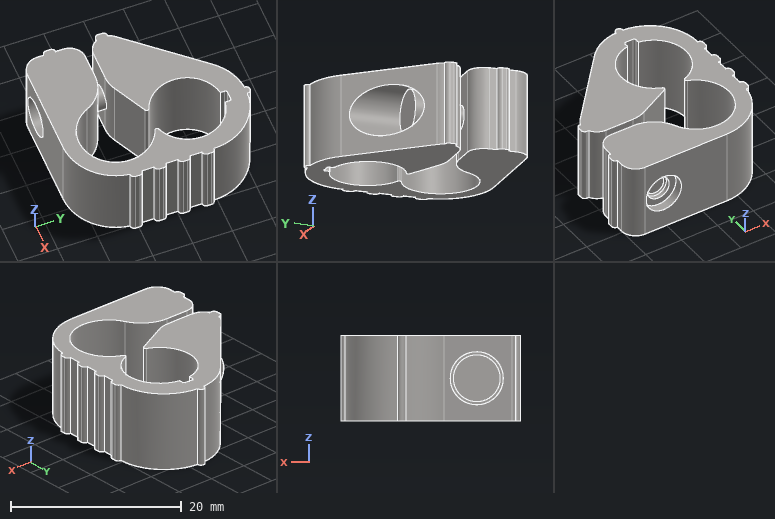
import cadquery as cq
import math

HEIGHT = 10.0

OUTER_R = 6.6
UPPER_OUTER_Y = 9.8
WALL_X = -13.4
CORNER_R = 2.0
GAP_BOTTOM = 0.7
GAP_TOP = 1.71

LOWER_BORE_R = 4.6
UPPER_BORE_R = 4.5
UPPER_BORE_Y = 9.02
TIP_R = 0.25
BEND_R = 4.0
BEND_X = -7.68

KEY_WIDTH = 1.5
KEY_TOP = UPPER_BORE_Y + 5.24
KEY_CORNER_R = 0.25

RIB_DEPTH = 0.5
RIB_WIDTH = 1.5
RIB_PITCH = 3.0
RIB_COUNT = 4
UPPER_JAW_RIB_Y = 3.5
LOWER_JAW_RIB_Y = -3.0
RIB_ROOT = 1.17

SCREW_X = -8.78
SCREW_D = 3.0
HEAD_D = 5.47
HEAD_HEIGHT = 3.0
HEAD_TOP = 7.18
HEAD_POCKET_D = 6.2
FRONT_POCKET_D = 4.9
FRONT_POCKET_DEPTH = 1.17
FRONT_HOLE_DEPTH = 0.59
FRONT_CONE_D = 2.47
FRONT_CONE_DEPTH = 0.16


def on_circle(center, radius, angle):
    """Point on a circle at an angle in radians."""
    return (center[0] + radius * math.cos(angle), center[1] + radius * math.sin(angle))


def tangent_angle(start, start_r, end, end_r):
    """Normal angle of the outer tangent lying on the right when going from start to end."""
    dx = end[0] - start[0]
    dy = end[1] - start[1]
    return math.atan2(dy, dx) - math.pi / 2 + math.asin((start_r - end_r) / math.hypot(dx, dy))


def arc(path, center, radius, start, end):
    """Extend a path, already at the start angle, along a circle to the end angle."""
    middle = on_circle(center, radius, (start + end) / 2)
    return path.threePointArc(middle, on_circle(center, radius, end))


def clamp_body():
    """Extrude the clamp outline, traced counterclockwise from its lower right arc."""
    right, up, left, down = 0, math.pi / 2, math.pi, 1.5 * math.pi
    turn = 2 * math.pi
    lower = (0, 0)
    upper = (0, UPPER_BORE_Y)
    outer_top = (0, UPPER_OUTER_Y)
    corner_x = WALL_X + CORNER_R
    upper_corner = (corner_x, GAP_TOP + CORNER_R)
    lower_jaw_corner = (corner_x, GAP_BOTTOM - CORNER_R)
    bottom_corner = (corner_x, CORNER_R - OUTER_R)
    bend = (BEND_X, GAP_TOP + BEND_R)

    upper_reach = UPPER_BORE_R + TIP_R
    lower_reach = LOWER_BORE_R + TIP_R
    tip_y = (UPPER_BORE_Y**2 + lower_reach**2 - upper_reach**2) / (2 * UPPER_BORE_Y)
    tip_x = math.sqrt(lower_reach**2 - tip_y**2)
    left_tip = (-tip_x, tip_y)
    right_tip = (tip_x, tip_y)
    to_upper = math.atan2(UPPER_BORE_Y - tip_y, tip_x)
    to_lower = math.atan2(tip_y, tip_x)

    hump_y = GAP_BOTTOM - LOWER_BORE_R
    hump = (-math.sqrt((2 * LOWER_BORE_R)**2 - hump_y**2), hump_y)
    hump_end = math.atan2(-hump[1], -hump[0])

    slope = tangent_angle(outer_top, OUTER_R, upper_corner, CORNER_R) % turn
    jaw_slope = tangent_angle(bend, BEND_R, left_tip, TIP_R)

    path = cq.Workplane("XY").moveTo(0, -OUTER_R)
    path = arc(path, lower, OUTER_R, -math.pi / 2, right)
    path = path.lineTo(OUTER_R, UPPER_OUTER_Y)
    path = arc(path, outer_top, OUTER_R, right, slope)
    path = path.lineTo(*on_circle(upper_corner, CORNER_R, slope))
    path = arc(path, upper_corner, CORNER_R, slope, down)
    path = path.lineTo(BEND_X, GAP_TOP)
    path = arc(path, bend, BEND_R, -math.pi / 2, jaw_slope)
    path = path.lineTo(*on_circle(left_tip, TIP_R, jaw_slope))
    path = arc(path, left_tip, TIP_R, jaw_slope, to_upper)
    path = arc(path, upper, UPPER_BORE_R, left + to_upper, -to_upper)
    path = arc(path, right_tip, TIP_R, left - to_upper, left + to_lower)
    path = arc(path, lower, LOWER_BORE_R, to_lower, hump_end + left - turn)
    path = arc(path, hump, LOWER_BORE_R, hump_end, up)
    path = path.lineTo(corner_x, GAP_BOTTOM)
    path = arc(path, lower_jaw_corner, CORNER_R, up, left)
    path = path.lineTo(WALL_X, bottom_corner[1])
    path = arc(path, bottom_corner, CORNER_R, left, down)
    return path.close().extrude(HEIGHT)


def side_rib(wall_x, outward, y):
    """Rounded rib on a side wall; outward is +1 or -1 along X."""
    length = RIB_ROOT + RIB_DEPTH
    center_x = wall_x + outward * (RIB_DEPTH - RIB_ROOT) / 2
    rib = cq.Workplane("XY").center(center_x, y).rect(length, RIB_WIDTH).extrude(HEIGHT)
    outer_face = ">X" if outward > 0 else "<X"
    return rib.faces(outer_face).edges("|Z").fillet(RIB_DEPTH)


def key_slot():
    length = KEY_TOP - UPPER_BORE_Y
    slot = cq.Workplane("XY").center(0, KEY_TOP - length / 2).rect(KEY_WIDTH, length).extrude(HEIGHT)
    return slot.faces(">Y").edges("|Z").fillet(KEY_CORNER_R)


def rod(diameter, start_y, end_y):
    """Cylinder on the screw axis."""
    plane = cq.Plane(origin=(SCREW_X, start_y, HEIGHT / 2), xDir=(1, 0, 0), normal=(0, 1, 0))
    return cq.Workplane(plane).circle(diameter / 2).extrude(end_y - start_y)


def front_recess():
    """Stepped recess under the screw, ending in a short cone."""
    pocket_floor = FRONT_POCKET_DEPTH - OUTER_R
    cone_start = pocket_floor + FRONT_HOLE_DEPTH
    recess = rod(FRONT_POCKET_D, -OUTER_R, pocket_floor).union(rod(SCREW_D, pocket_floor, cone_start))
    cone = cq.Solid.makeCone(
        SCREW_D / 2,
        FRONT_CONE_D / 2,
        FRONT_CONE_DEPTH,
        pnt=cq.Vector(SCREW_X, cone_start, HEIGHT / 2),
        dir=cq.Vector(0, 1, 0),
    )
    return recess.union(cone)


result = clamp_body()

for index in range(RIB_COUNT):
    result = result.union(side_rib(OUTER_R, 1, index * RIB_PITCH))
for jaw_rib_y in (UPPER_JAW_RIB_Y, LOWER_JAW_RIB_Y):
    result = result.union(side_rib(WALL_X, -1, jaw_rib_y))
top_rib = cq.Workplane("XY").center(0, UPPER_OUTER_Y + OUTER_R).circle(RIB_DEPTH).extrude(HEIGHT)
result = result.union(top_rib).cut(key_slot())

head_seat = HEAD_TOP - HEAD_HEIGHT
result = result.cut(rod(HEAD_POCKET_D, head_seat, UPPER_OUTER_Y + OUTER_R))
result = result.union(rod(HEAD_D, head_seat, HEAD_TOP))
result = result.union(rod(SCREW_D, GAP_BOTTOM - CORNER_R, GAP_TOP + CORNER_R))
result = result.cut(front_recess())